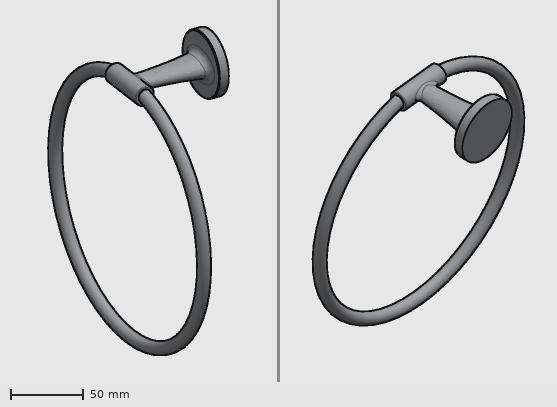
import cadquery as cq


overall_depth = 73.0
overall_height = 227.7

flange_diameter = 50.0
flange_rim_thickness = 8.0
flange_dome_rise = 0.7
flange_edge_chamfer = 0.7

sleeve_diameter = 15.3
sleeve_length = 41.0
sleeve_edge_round = 0.7
sleeve_axis_y = -(overall_depth - sleeve_diameter / 2)

ring_outer_diameter = 210.0
ring_bar_diameter = 10.0
ring_path_radius = (ring_outer_diameter - ring_bar_diameter) / 2
ring_center_z = flange_diameter / 2 - overall_height + ring_outer_diameter / 2

post_start = 4.5
post_sections = [
    (post_start, 15.5, 8.9),
    (31.9, 10.7, 6.4),
    (-sleeve_axis_y, 8.0, 5.2),
]
post_base_fillet = 5.5
post_sleeve_fillet = 3.5


def make_flange():
    """Round disc with a chamfered rim and a slightly domed front face."""
    radius = flange_diameter / 2
    face_radius = radius - flange_edge_chamfer
    chamfer_start = flange_rim_thickness - flange_edge_chamfer
    dome_height = flange_rim_thickness + flange_dome_rise
    dome_radius = (face_radius**2 + flange_dome_rise**2) / (2 * flange_dome_rise)
    profile = (
        cq.Workplane("XY")
        .lineTo(radius, 0)
        .lineTo(radius, -chamfer_start)
        .lineTo(face_radius, -flange_rim_thickness)
        .radiusArc((0, -dome_height), dome_radius)
        .close()
    )
    return profile.revolve(360, (0, 0, 0), (0, 1, 0))


def make_post():
    """Elliptical post narrowing smoothly from the flange to the sleeve axis."""
    wires = [
        cq.Workplane("XZ", origin=(0, -distance, 0)).ellipse(half_width, half_height).wires().val()
        for distance, half_width, half_height in post_sections
    ]
    return cq.Workplane(obj=cq.Solid.makeLoft(wires))


def make_sleeve():
    """Cylinder along X with rounded end edges."""
    return (
        cq.Workplane("YZ", origin=(-sleeve_length / 2, sleeve_axis_y, 0))
        .circle(sleeve_diameter / 2)
        .extrude(sleeve_length)
        .faces("<X or >X")
        .edges()
        .fillet(sleeve_edge_round)
    )


def make_ring():
    """Torus hanging in the XZ plane, its top passing through the sleeve."""
    torus = cq.Solid.makeTorus(
        ring_path_radius,
        ring_bar_diameter / 2,
        cq.Vector(0, sleeve_axis_y, ring_center_z),
        cq.Vector(0, 1, 0),
    )
    return cq.Workplane(obj=torus)


def joint_edges(near_distance, far_distance):
    """Select edges centred inside the sleeve's radius, between two distances from the wall."""
    reach = sleeve_diameter / 2
    return cq.selectors.BoxSelector((-reach, -far_distance, -reach), (reach, -near_distance, reach))


mount = make_flange().union(make_post())

rim_clearance = 0.2
dome_joint = joint_edges(
    flange_rim_thickness + rim_clearance,
    flange_rim_thickness + flange_dome_rise,
)
mount = mount.edges(dome_joint).fillet(post_base_fillet)

mount = mount.union(make_sleeve())
axis_clearance = 2.3
sleeve_joint = joint_edges(
    -sleeve_axis_y - sleeve_diameter / 2 + sleeve_edge_round,
    -sleeve_axis_y - axis_clearance,
)
mount = mount.edges(sleeve_joint).fillet(post_sleeve_fillet)

result = mount.union(make_ring())